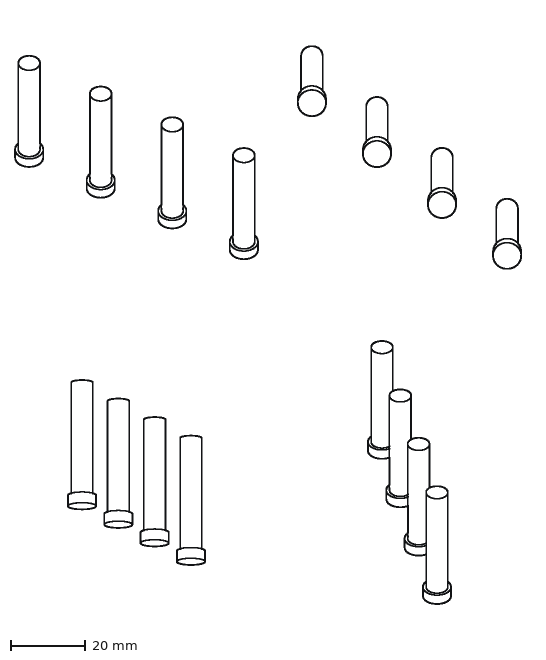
import cadquery as cq

pin_count = 4
overall_length = 76.2
pin_height = 34.2
head_diameter = 7.6
head_height = 3.0
shank_diameter = 5.9

pin_pitch = (overall_length - head_diameter) / (pin_count - 1)
first_pin_x = -pin_pitch * (pin_count - 1) / 2


def make_pin(x):
    """Upright pin at x: a round head at the bottom with a plain shank above it."""
    head = cq.Workplane("XY").circle(head_diameter / 2).extrude(head_height)
    shank = cq.Workplane("XY").circle(shank_diameter / 2).extrude(pin_height)
    return head.union(shank).translate((x, 0, 0))


pins = [make_pin(first_pin_x + index * pin_pitch) for index in range(pin_count)]

result = cq.Compound.makeCompound([pin.solids().val() for pin in pins])